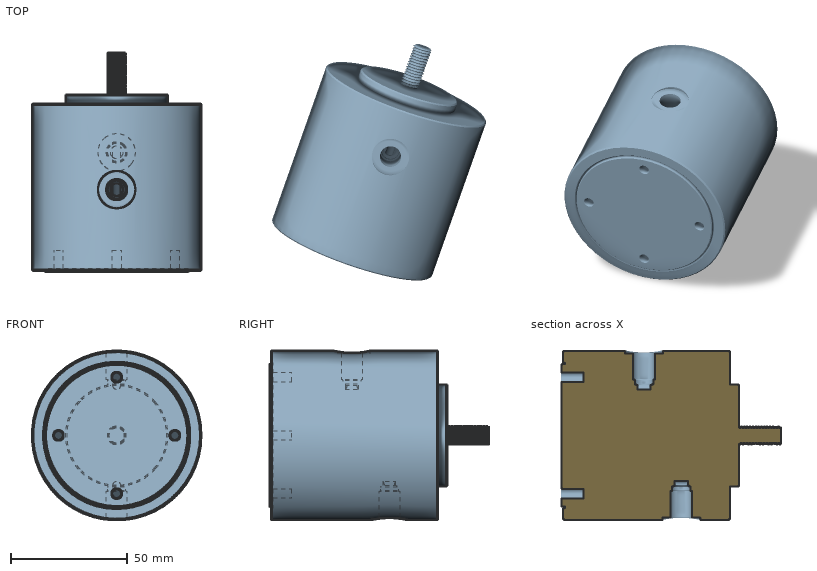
import cadquery as cq
import math


TOTAL_LENGTH = 94.5

BODY_RADIUS = 36.5
BODY_LENGTH = 72.0
EDGE_CHAMFER = 0.6

BOSS_RADIUS = 22.0
BOSS_LENGTH = 4.0
STUD_RADIUS = 8.0 / 2
STUD_LENGTH = 18.0
STUD_CHAMFER = 0.5
THREAD_PITCH = 1.2
THREAD_DEPTH = 0.7
THREAD_FLAT = THREAD_PITCH / 8

COVER_RADIUS = 30.8
COVER_PROUD = TOTAL_LENGTH - BODY_LENGTH - BOSS_LENGTH - STUD_LENGTH
COVER_CHAMFER = 0.4
RECESS_RADIUS = 31.2
RECESS_CHAMFER = 0.5
RECESS_DEPTH = 0.9

HOLE_COUNT = 4
HOLE_CIRCLE_RADIUS = 25.0
HOLE_RADIUS = 2.0
HOLE_CHAMFER = 0.3
HOLE_DEPTH = 9.45

TOP_PORT_Y = 35.0
BOTTOM_PORT_Y = 51.0
SPOTFACE_RADIUS = 8.0
SPOTFACE_DEPTH = 1.0
PORT_RADIUS = 4.5
PORT_DEPTH = 11.3
DRILL_RADIUS = 3.9
DRILL_CHAMFER = 0.4
DRILL_DEPTH = 13.2
PORT_FLOOR_RADIUS = 2.7
DRILL_TIP_HALF_ANGLE = 59
CHANNEL_RADIUS = 1.7


def disc(radius, start_y, length):
    """Solid cylinder about the Y axis from start_y towards +Y."""
    return cq.Workplane("XZ", origin=(0, start_y, 0)).circle(radius).extrude(-length)


def revolve_profile(plane, points):
    """Solid of revolution: about the Y axis for plane "XY", about the Z axis for "XZ"."""
    return cq.Workplane(plane).polyline(points).close().revolve(360, (0, 0), (0, 1))


def make_body():
    body = disc(BODY_RADIUS, 0, BODY_LENGTH).faces("<Y or >Y").chamfer(EDGE_CHAMFER)
    boss = disc(BOSS_RADIUS, BODY_LENGTH, BOSS_LENGTH).faces(">Y").chamfer(EDGE_CHAMFER)
    return body.union(boss)


def polar(radius, angle):
    """Point at the given radius and angle in radians."""
    return (radius * math.cos(angle), radius * math.sin(angle))


def make_stud():
    """Stud with a right-hand thread, built along Z and then turned to +Y.

    A slice across the thread runs from the crest to the root and back once per turn.
    Twisting that slice along the axis by one turn per pitch gives the thread.
    """
    root_radius = STUD_RADIUS - THREAD_DEPTH
    mid_radius = STUD_RADIUS - THREAD_DEPTH / 2
    half_flat = math.pi * THREAD_FLAT / THREAD_PITCH
    root_start = math.pi - half_flat
    section = (
        cq.Workplane("XY")
        .moveTo(*polar(STUD_RADIUS, -half_flat))
        .threePointArc((STUD_RADIUS, 0), polar(STUD_RADIUS, half_flat))
        .threePointArc((0, mid_radius), polar(root_radius, root_start))
        .threePointArc((-root_radius, 0), polar(root_radius, -root_start))
        .threePointArc((0, -mid_radius), polar(STUD_RADIUS, -half_flat))
        .close()
    )
    stud = section.twistExtrude(STUD_LENGTH, 360 * STUD_LENGTH / THREAD_PITCH)

    clearance = 0.1
    chamfer_profile = [
        (STUD_RADIUS - STUD_CHAMFER, STUD_LENGTH),
        (STUD_RADIUS + clearance, STUD_LENGTH),
        (STUD_RADIUS + clearance, STUD_LENGTH - STUD_CHAMFER - clearance),
    ]
    chamfer_ring = revolve_profile("XZ", chamfer_profile)
    stud = stud.cut(chamfer_ring)
    return stud.rotate((0, 0, 0), (1, 0, 0), -90).translate((0, BODY_LENGTH + BOSS_LENGTH, 0))


def add_cover(body):
    recess_profile = [
        (0, 0),
        (RECESS_RADIUS + RECESS_CHAMFER, 0),
        (RECESS_RADIUS, RECESS_CHAMFER),
        (RECESS_RADIUS, RECESS_DEPTH),
        (0, RECESS_DEPTH),
    ]
    recess = revolve_profile("XY", recess_profile)
    cover = disc(COVER_RADIUS, -COVER_PROUD, COVER_PROUD + RECESS_DEPTH)
    cover = cover.faces("<Y").chamfer(COVER_CHAMFER)
    return body.cut(recess).union(cover)


def cut_cover_holes(body):
    profile = [
        (0, 0),
        (HOLE_RADIUS + HOLE_CHAMFER, 0),
        (HOLE_RADIUS, HOLE_CHAMFER),
        (HOLE_RADIUS, HOLE_DEPTH),
        (0, HOLE_DEPTH),
    ]
    hole = revolve_profile("XY", profile)
    hole = hole.translate((0, -COVER_PROUD, HOLE_CIRCLE_RADIUS))
    for index in range(HOLE_COUNT):
        body = body.cut(hole.rotate((0, 0, 0), (0, 1, 0), index * 360 / HOLE_COUNT))
    return body


def make_port():
    """Cutter for a port at Y = 0 that opens at the top (+Z) of the body."""
    floor_z = BODY_RADIUS - SPOTFACE_DEPTH
    tip_height = (DRILL_RADIUS - PORT_FLOOR_RADIUS) / math.tan(math.radians(DRILL_TIP_HALF_ANGLE))
    bottom_z = floor_z - DRILL_DEPTH - tip_height
    profile = [
        (0, BODY_RADIUS),
        (SPOTFACE_RADIUS, BODY_RADIUS),
        (SPOTFACE_RADIUS, floor_z),
        (PORT_RADIUS, floor_z),
        (PORT_RADIUS, floor_z - PORT_DEPTH),
        (DRILL_RADIUS + DRILL_CHAMFER, floor_z - PORT_DEPTH),
        (DRILL_RADIUS, floor_z - PORT_DEPTH - DRILL_CHAMFER),
        (DRILL_RADIUS, floor_z - DRILL_DEPTH),
        (PORT_FLOOR_RADIUS, bottom_z),
        (0, bottom_z),
    ]
    bore = revolve_profile("XZ", profile)
    channel = cq.Workplane("XZ", origin=(0, 0, bottom_z)).circle(CHANNEL_RADIUS)
    channel = channel.extrude(PORT_FLOOR_RADIUS, both=True)
    floor_column = cq.Workplane("XY", origin=(0, 0, bottom_z)).circle(PORT_FLOOR_RADIUS)
    floor_column = floor_column.extrude(CHANNEL_RADIUS, both=True)
    return bore.union(channel.intersect(floor_column))


def cut_ports(body):
    port = make_port()
    top_port = port.translate((0, TOP_PORT_Y, 0))
    bottom_port = port.rotate((0, 0, 0), (0, 1, 0), 180).translate((0, BOTTOM_PORT_Y, 0))
    return body.cut(top_port).cut(bottom_port)


result = make_body()
result = add_cover(result)
result = cut_cover_holes(result)
result = cut_ports(result)
result = result.union(make_stud())